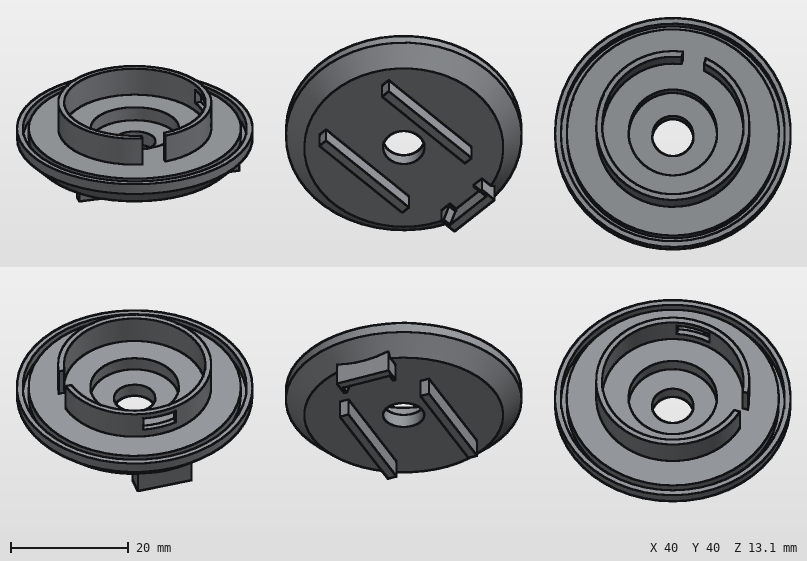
import cadquery as cq

disc_diameter = 40.0
disc_height = 5.0
bevel = 3.1
bore_diameter = 7.0
counterbore_diameter = 15.0
counterbore_depth = disc_height / 2

groove_outer_diameter = 38.0
groove_inner_diameter = 36.0
groove_depth = 2.0

collar_outer_diameter = 26.0
collar_wall = 1.0
collar_height = 5.0
gap_width = 4.0
gap_center_y = -0.1

window_width = 5.85
window_height = 2.5
window_center_x = -0.5
window_sill = 1.5

foot_height = 3.1
rail_width = 1.6
rail_length = 20.0
rail_inner_spacing = 13.35
rail_center_y = -2.0
stop_width = 9.55
stop_depth = 3.1
stop_front_y = 14.0

pocket_neck_width = 5.7
pocket_neck_height = 0.5
pocket_shoulder_width = 6.1
pocket_mouth_width = 8.65
pocket_depth = stop_depth / 2


def cylinder(diameter, height, base_z):
    return cq.Workplane("XY").workplane(offset=base_z).circle(diameter / 2).extrude(height)


def tube(outer_diameter, inner_diameter, height, base_z):
    return cylinder(outer_diameter, height, base_z).cut(cylinder(inner_diameter, height, base_z))


def make_disc():
    disc = cylinder(disc_diameter, disc_height, 0).faces("<Z").chamfer(bevel)
    disc = disc.cut(cylinder(bore_diameter, disc_height, 0))
    disc = disc.cut(cylinder(counterbore_diameter, counterbore_depth, disc_height - counterbore_depth))
    groove = tube(groove_outer_diameter, groove_inner_diameter, groove_depth, disc_height - groove_depth)
    return disc.cut(groove)


def make_collar():
    collar_inner_diameter = collar_outer_diameter - 2 * collar_wall
    collar = tube(collar_outer_diameter, collar_inner_diameter, collar_height, disc_height)
    reach = collar_outer_diameter
    gap = (
        cq.Workplane("XY")
        .box(reach, gap_width, collar_height, centered=(False, True, False))
        .translate((0, gap_center_y, disc_height))
    )
    window = (
        cq.Workplane("XY")
        .box(window_width, reach, window_height, centered=(True, False, False))
        .translate((window_center_x, 0, disc_height + window_sill))
    )
    return collar.cut(gap).cut(window)


def make_rail(side):
    center_x = side * (rail_inner_spacing + rail_width) / 2
    return (
        cq.Workplane("XY")
        .box(rail_width, rail_length, foot_height, centered=(True, True, False))
        .translate((center_x, rail_center_y, -foot_height))
    )


def make_stop():
    stop = (
        cq.Workplane("XY")
        .box(stop_width, stop_depth, foot_height + bevel / 2, centered=(True, False, False))
        .translate((0, stop_front_y, -foot_height))
    )
    right_side = [
        (pocket_neck_width / 2, 0),
        (pocket_neck_width / 2, -pocket_neck_height),
        (pocket_shoulder_width / 2, -pocket_neck_height),
        (pocket_mouth_width / 2, -foot_height),
    ]
    left_side = [(-x, z) for x, z in reversed(right_side)]
    pocket = (
        cq.Workplane("XZ", origin=(0, stop_front_y, 0))
        .polyline(right_side + left_side)
        .close()
        .extrude(-pocket_depth)
    )
    return stop.cut(pocket)


result = make_disc().union(make_collar()).union(make_stop())
for side in (-1, 1):
    result = result.union(make_rail(side))